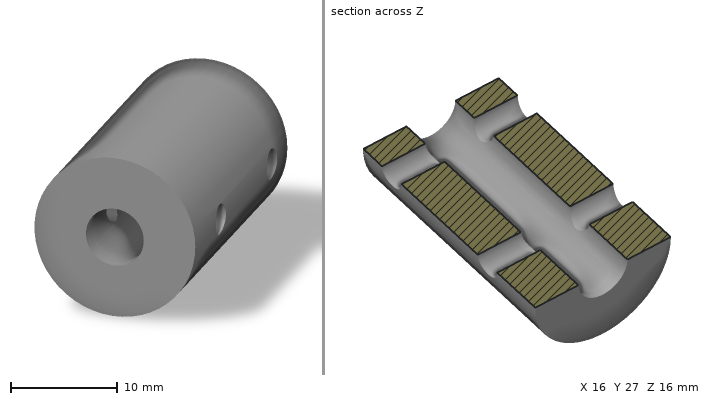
import cadquery as cq

length = 27.0
outer_diameter = 16.0
bore_diameter = 5.75

cross_hole_diameter = 3.0
first_hole_offset = 7.5
hole_spacing = 15.0

front_y = -length / 2

sleeve = (
    cq.Workplane("XZ", origin=(0, -front_y, 0))
    .circle(outer_diameter / 2)
    .circle(bore_diameter / 2)
    .extrude(length)
)


def cross_hole(y):
    """Cutter that passes through both walls of the sleeve at the given Y."""
    return (
        cq.Workplane("YZ")
        .center(y, 0)
        .circle(cross_hole_diameter / 2)
        .extrude(outer_diameter, both=True)
    )


result = sleeve
for hole_index in range(2):
    hole_y = front_y + first_hole_offset + hole_index * hole_spacing
    result = result.cut(cross_hole(hole_y))